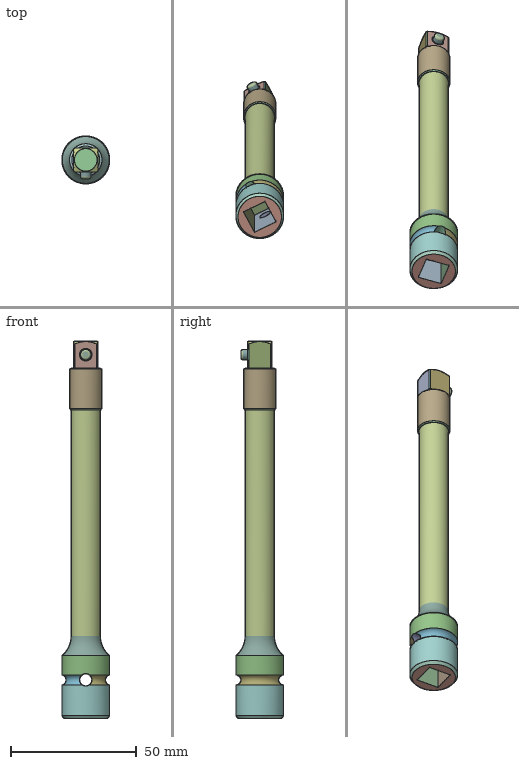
import cadquery as cq
import math

total_length = 150
shaft_radius = 5.8

socket_radius = 9.52
socket_chamfer_width = 0.9
socket_chamfer_height = 1.2
groove_bottom = 13.4
groove_top = 17.4
groove_depth = 1.6
cross_hole_diameter = 4.8
cross_hole_height = 15.5
socket_square_width = 9.6
socket_depth = 21.0
flare_bottom = 25.2
flare_height = 7.6
flare_radius = 10.2

collar_radius = 6.5
collar_bottom = 122.7
collar_top = 139.4
collar_chamfer = 0.5
collar_top_chamfer_width = 0.9

square_width = 9.6
square_corner_chamfer = 0.5
square_top_radius = 4.5
square_top_slope = 30

pin_height = 144.6
pin_diameter = 4.2
pin_tip_fillet = 0.9
pin_protrusion = 2.7
pin_depth = 3.0
sleeve_diameter = 5.0


def make_turned_body():
    """Turned profile from the socket end to the top of the collar."""
    groove_middle = (groove_bottom + groove_top) / 2
    flare_top = flare_bottom + flare_height
    arc_center_radius = shaft_radius + flare_radius

    def flare_point(drop):
        offset = math.sqrt(flare_radius**2 - drop**2)
        return arc_center_radius - offset, flare_top - drop

    return (
        cq.Workplane("XZ")
        .moveTo(0, 0)
        .lineTo(socket_radius - socket_chamfer_width, 0)
        .lineTo(socket_radius, socket_chamfer_height)
        .lineTo(socket_radius, groove_bottom)
        .threePointArc((socket_radius - groove_depth, groove_middle), (socket_radius, groove_top))
        .lineTo(socket_radius, flare_bottom)
        .lineTo(*flare_point(flare_height))
        .threePointArc(flare_point(flare_height / 2), flare_point(0))
        .lineTo(shaft_radius, collar_bottom)
        .lineTo(collar_radius - collar_chamfer, collar_bottom)
        .lineTo(collar_radius, collar_bottom + collar_chamfer)
        .lineTo(collar_radius, collar_top - collar_chamfer)
        .lineTo(collar_radius - collar_top_chamfer_width, collar_top)
        .lineTo(0, collar_top)
        .close()
        .revolve(360, (0, 0, 0), (0, 1, 0))
    )


def make_drive_square():
    """Square drive with chamfered edges and a conically turned top."""
    square = (
        cq.Workplane("XY")
        .workplane(offset=collar_top)
        .rect(square_width, square_width)
        .extrude(total_length - collar_top)
        .edges("|Z")
        .chamfer(square_corner_chamfer)
    )
    cone_radius = square_width
    cone_drop = (cone_radius - square_top_radius) * math.tan(math.radians(square_top_slope))
    envelope = (
        cq.Workplane("XZ")
        .moveTo(0, collar_top)
        .lineTo(cone_radius, collar_top)
        .lineTo(cone_radius, total_length - cone_drop)
        .lineTo(square_top_radius, total_length)
        .lineTo(0, total_length)
        .close()
        .revolve(360, (0, 0, 0), (0, 1, 0))
    )
    return square.intersect(envelope)


def make_pin_cylinder(diameter, front_y, length):
    """Cylinder on the pin axis, running from front_y toward +Y."""
    return (
        cq.Workplane("XZ", origin=(0, front_y, pin_height))
        .circle(diameter / 2)
        .extrude(-length)
    )


def make_extension_bar():
    bar = make_turned_body().union(make_drive_square())
    cross_hole = (
        cq.Workplane("XZ", origin=(0, 0, cross_hole_height))
        .circle(cross_hole_diameter / 2)
        .extrude(socket_radius, both=True)
    )
    socket = cq.Workplane("XY").rect(socket_square_width, socket_square_width).extrude(socket_depth)
    sleeve_bore = make_pin_cylinder(sleeve_diameter, -square_width / 2, pin_depth)
    return bar.cut(cross_hole).cut(socket).cut(sleeve_bore)


def make_detent_pin():
    front_y = -square_width / 2 - pin_protrusion
    pin = make_pin_cylinder(pin_diameter, front_y, pin_protrusion + pin_depth)
    return pin.faces("<Y").edges().fillet(pin_tip_fillet)


def make_guide_sleeve():
    face_y = -square_width / 2
    sleeve = make_pin_cylinder(sleeve_diameter, face_y, pin_depth)
    return sleeve.cut(make_pin_cylinder(pin_diameter, face_y, pin_depth))


extension_bar = make_extension_bar()
detent_pin = make_detent_pin()
guide_sleeve = make_guide_sleeve()

result = cq.Compound.makeCompound([extension_bar.val(), detent_pin.val(), guide_sleeve.val()])